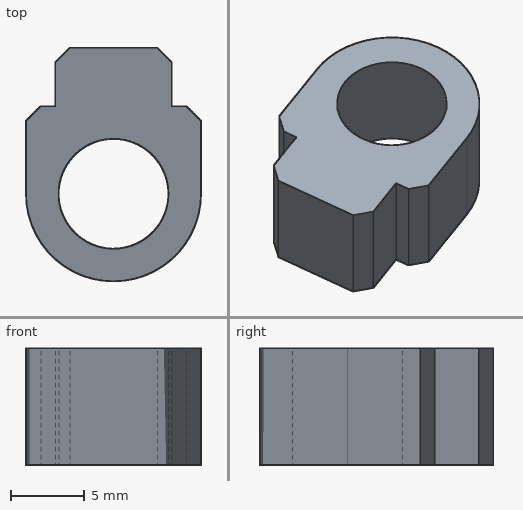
import cadquery as cq

total_length = 16.0
body_width = 12.0
height = 8.0
bore_diameter = 7.5
shoulder_length = 12.0
tab_width = 8.0
corner_chamfer = 1.0

body_radius = body_width / 2
shoulder_y = shoulder_length - body_radius
tab_end_y = total_length - body_radius


def chamfered_block(width, end_y):
    """Block from the bore axis to end_y, with its two far upright edges chamfered."""
    block = cq.Workplane("XY").box(width, end_y, height, centered=(True, False, False))
    return block.faces(">Y").edges("|Z").chamfer(corner_chamfer)


rounded_end = cq.Workplane("XY").circle(body_radius).extrude(height)
body = chamfered_block(body_width, shoulder_y)
tab = chamfered_block(tab_width, tab_end_y)

bore = cq.Workplane("XY").circle(bore_diameter / 2).extrude(height)

result = rounded_end.union(body).union(tab).clean().cut(bore)